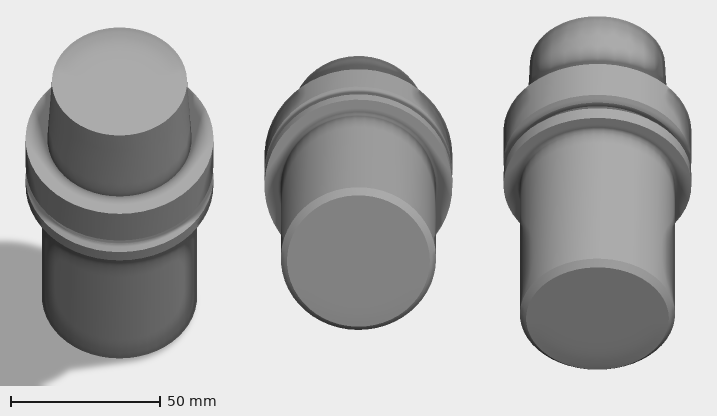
import cadquery as cq
import math

total_length = 121.8
top_z = total_length / 2
bottom_z = -top_z

shank_tip_diameter = 45.3
shank_base_diameter = 48.4
shank_length = 31.9

flange_diameter = 63.0
flange_length = 26.0
groove_diameter = 55.0
upper_band_length = 14.9
lower_band_length = 4.6
flank_height = 1.3
flank_angle = math.radians(30)

body_diameter = 52.0
end_chamfer = 2.1
root_fillet = 1.0

flange_top_z = top_z - shank_length
flange_bottom_z = flange_top_z - flange_length
upper_band_bottom_z = flange_top_z - upper_band_length
lower_band_top_z = flange_bottom_z + lower_band_length
groove_top_z = upper_band_bottom_z - flank_height
groove_bottom_z = lower_band_top_z + flank_height


def make_shank():
    """Solid cone frustum, widest at the flange."""
    return (
        cq.Workplane("XY", origin=(0, 0, flange_top_z))
        .circle(shank_base_diameter / 2)
        .workplane(offset=shank_length)
        .circle(shank_tip_diameter / 2)
        .loft(ruled=True)
    )


def make_flange_and_body():
    """Grooved flange and chamfered body, turned about Z."""
    flange_radius = flange_diameter / 2
    groove_radius = groove_diameter / 2
    body_radius = body_diameter / 2
    flank_inner_radius = flange_radius - flank_height / math.tan(flank_angle)
    profile = (
        cq.Workplane("XZ")
        .moveTo(0, flange_top_z)
        .lineTo(flange_radius, flange_top_z)
        .lineTo(flange_radius, upper_band_bottom_z)
        .lineTo(flank_inner_radius, groove_top_z)
        .lineTo(groove_radius, groove_top_z)
        .lineTo(groove_radius, groove_bottom_z)
        .lineTo(flank_inner_radius, groove_bottom_z)
        .lineTo(flange_radius, lower_band_top_z)
        .lineTo(flange_radius, flange_bottom_z)
        .lineTo(body_radius + root_fillet, flange_bottom_z)
        .radiusArc((body_radius, flange_bottom_z - root_fillet), -root_fillet)
        .lineTo(body_radius, bottom_z + end_chamfer)
        .lineTo(body_radius - end_chamfer, bottom_z)
        .lineTo(0, bottom_z)
        .close()
    )
    return profile.revolve(360, (0, 0, 0), (0, 1, 0))


result = make_flange_and_body().union(make_shank())